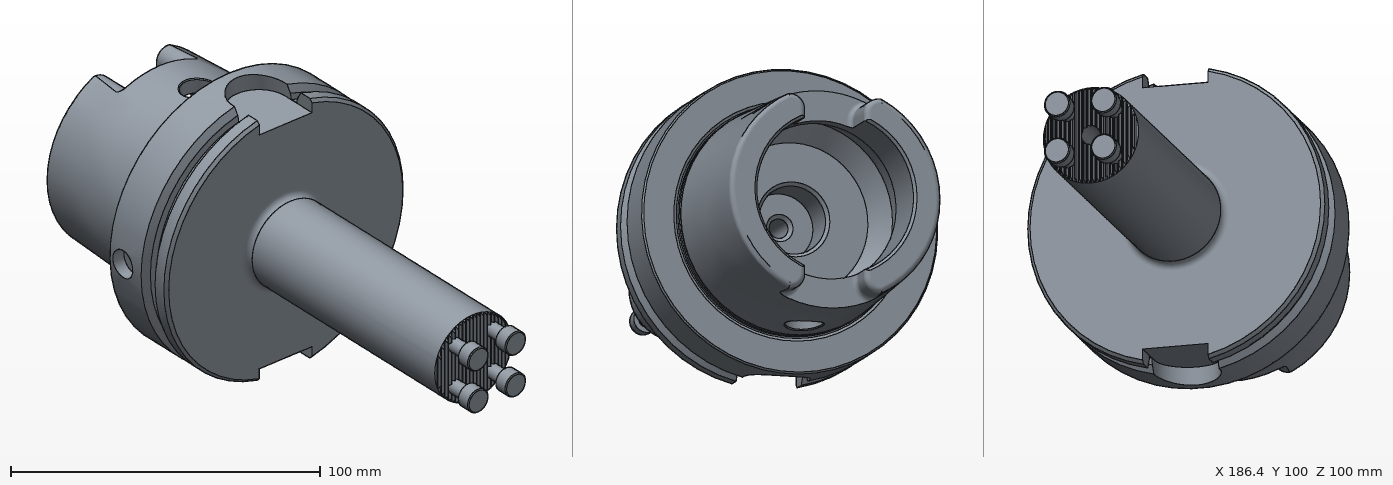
import cadquery as cq
import math


taper_length = 50.0
taper_base_radius = 38.0
taper_slope = 0.05
rim_round = 1.7

relief_start = -2.8
relief_end = -1.1
relief_depth = 0.28
relief_ramp = 0.5
face_relief_depth = 0.4
face_relief_inner_radius = 38.4
face_relief_outer_radius = 39.3

flange_radius = 50.02
flange_width = 29.0
flange_front_chamfer = 0.5
flange_rear_chamfer = 1.1
grip_groove_position = 20.0
grip_groove_half_width = 3.5
grip_groove_shoulder_half_width = 1.9
grip_groove_shoulder_radius = 47.5
grip_groove_floor_half_width = 1.3
grip_groove_floor_radius = 45.5

bore_radius = 26.5
bore_chamfer = 1.0
bore_depth = 20.0
clamp_radius = 31.5
clamp_angle = 60
clamp_depth = 40.0
cavity_floor_radius = 25.2
tube_thread_radius = 11.2
tube_thread_chamfer = 1.1
tube_thread_depth = 14.9
coolant_radius = 3.2
coolant_mouth_radius = 4.5

slot_half_width = 10.0
slot_corner_radius = 5.0
slot_shelf_height = 32.0
slot_mouth_round = 1.9
slot_floor_round = 1.7
slot_plate_thickness = 3.7
upper_slot_depth = 14.9
lower_slot_depth = 9.9

cross_hole_radius = 6.1
cross_hole_chamfer = 0.4
cross_hole_position = -15.3
pocket_radius = 11.0
pocket_start = 4.5
pocket_floor_height = 44.0
chip_hole_radius = 5.0
chip_hole_position = 7.0
chip_hole_depth = 4.7

bar_radius = 16.0
neck_fillet = 2.5
bar_end = 125.0
tooth_pitch = 1.5
tooth_depth = 1.0
tooth_crest = 0.2
tooth_gap = 0.4
bar_end_chamfer = 1.0

screw_offset = 7.8
screw_end = 136.4
screw_head_radius = 4.3
screw_head_length = 5.0
screw_head_chamfer = 0.4
screw_shank_radius = 2.6
screw_insertion = 8.0

taper_end = -taper_length
taper_end_radius = taper_base_radius - taper_slope * taper_length
bar_start = flange_width + neck_fillet
screw_tip = bar_end - screw_insertion
screw_places = [(sy * screw_offset, sz * screw_offset) for sy in (1, -1) for sz in (1, -1)]


def cylinder_x(radius, start, end):
    return cq.Workplane("YZ", origin=(start, 0, 0)).circle(radius).extrude(end - start)


def revolve_about_x(profile):
    return profile.close().revolve(360, (0, 0, 0), (1, 0, 0))


def holder_blank():
    """Taper, flange with gripper groove, and the filleted neck that carries the bar."""
    relief_radius = taper_base_radius + taper_slope * relief_start
    relief_floor_radius = relief_radius - relief_depth
    return revolve_about_x(
        cq.Workplane("XZ")
        .moveTo(taper_end, 0)
        .lineTo(taper_end, taper_end_radius)
        .lineTo(relief_start, relief_radius)
        .lineTo(relief_start + relief_ramp, relief_floor_radius)
        .lineTo(relief_end - relief_ramp, relief_floor_radius)
        .lineTo(relief_end, relief_radius)
        .lineTo(face_relief_depth, relief_radius)
        .lineTo(face_relief_depth, face_relief_inner_radius)
        .lineTo(0, face_relief_outer_radius)
        .lineTo(0, flange_radius - flange_front_chamfer)
        .lineTo(flange_front_chamfer, flange_radius)
        .lineTo(grip_groove_position - grip_groove_half_width, flange_radius)
        .lineTo(grip_groove_position - grip_groove_shoulder_half_width, grip_groove_shoulder_radius)
        .lineTo(grip_groove_position - grip_groove_floor_half_width, grip_groove_floor_radius)
        .lineTo(grip_groove_position + grip_groove_floor_half_width, grip_groove_floor_radius)
        .lineTo(grip_groove_position + grip_groove_shoulder_half_width, grip_groove_shoulder_radius)
        .lineTo(grip_groove_position + grip_groove_half_width, flange_radius)
        .lineTo(flange_width - flange_rear_chamfer, flange_radius)
        .lineTo(flange_width, flange_radius - flange_rear_chamfer)
        .lineTo(flange_width, bar_radius + neck_fillet)
        .radiusArc((bar_start, bar_radius), -neck_fillet)
        .lineTo(bar_start, 0)
    )


def drive_slot(side, depth):
    """Slot cutter: a channel that opens through rounded shoulders onto a flat shelf.

    side is 1 for the +Z slot and -1 for the -Z slot. A plate in front of the taper end lets
    the mouth of the slot flare with a round; the slot floor is rounded as well.
    """
    shoulder_y = slot_half_width + slot_corner_radius
    arc_start_z = slot_shelf_height - slot_corner_radius
    arc_mid_offset = slot_corner_radius * math.sqrt(0.5)
    arc_mid_y = shoulder_y - arc_mid_offset
    arc_mid_z = arc_start_z + arc_mid_offset
    outside = flange_radius
    channel = (
        cq.Workplane("YZ", origin=(taper_end, 0, 0))
        .moveTo(-slot_half_width, 0)
        .lineTo(slot_half_width, 0)
        .lineTo(slot_half_width, side * arc_start_z)
        .threePointArc((arc_mid_y, side * arc_mid_z), (shoulder_y, side * slot_shelf_height))
        .lineTo(outside, side * slot_shelf_height)
        .lineTo(outside, side * outside)
        .lineTo(-outside, side * outside)
        .lineTo(-outside, side * slot_shelf_height)
        .lineTo(-shoulder_y, side * slot_shelf_height)
        .threePointArc((-arc_mid_y, side * arc_mid_z), (-slot_half_width, side * arc_start_z))
        .close()
        .extrude(depth)
        .faces(">X")
        .edges()
        .fillet(slot_floor_round)
    )
    plate = (
        cq.Workplane("YZ", origin=(taper_end, 0, side * outside / 2))
        .rect(2 * outside, outside)
        .extrude(-slot_plate_thickness)
    )
    plate_face = cq.selectors.BoxSelector(
        (taper_end - slot_mouth_round / 2, -outside + slot_mouth_round, -outside),
        (taper_end + slot_mouth_round / 2, outside - slot_mouth_round, outside),
    )
    return channel.union(plate).edges(plate_face).fillet(slot_mouth_round)


def clamping_cavity():
    """Stepped bore: entry, undercut clamping groove, floor and coolant-tube thread bore."""
    undercut = clamp_radius - bore_radius
    clamp_start = bore_depth + undercut / math.tan(math.radians(clamp_angle))
    floor_depth = clamp_depth + clamp_radius - cavity_floor_radius
    thread_end = floor_depth + tube_thread_depth
    coolant_chamfer = coolant_mouth_radius - coolant_radius
    return revolve_about_x(
        cq.Workplane("XZ", origin=(taper_end, 0, 0))
        .lineTo(0, bore_radius + bore_chamfer)
        .lineTo(bore_chamfer, bore_radius)
        .lineTo(bore_depth, bore_radius)
        .lineTo(clamp_start, clamp_radius)
        .lineTo(clamp_depth, clamp_radius)
        .lineTo(floor_depth, cavity_floor_radius)
        .lineTo(floor_depth, tube_thread_radius + tube_thread_chamfer)
        .lineTo(floor_depth + tube_thread_chamfer, tube_thread_radius)
        .lineTo(thread_end, tube_thread_radius)
        .lineTo(thread_end, coolant_mouth_radius)
        .lineTo(thread_end + coolant_chamfer, coolant_radius)
        .lineTo(bar_start - taper_end, coolant_radius)
        .lineTo(bar_start - taper_end, 0)
    )


def drill_cross_holes(body):
    """Hole along Z through both walls of the taper, with its outer edges chamfered."""
    drill = (
        cq.Workplane("XY", origin=(cross_hole_position, 0, 0))
        .circle(cross_hole_radius)
        .extrude(flange_radius, both=True)
    )
    drilled = body.cut(drill)
    reach = cross_hole_radius + cross_hole_chamfer
    for side in (1, -1):
        outer_edge = cq.selectors.BoxSelector(
            (cross_hole_position - reach, -reach, side * clamp_radius),
            (cross_hole_position + reach, reach, side * flange_radius),
            boundingbox=True,
        )
        drilled = drilled.edges(outer_edge).chamfer(cross_hole_chamfer)
    return drilled


def flange_pocket(side):
    """Flat-floored pocket, round at the front and open at the rear of the flange."""
    centre = pocket_start + pocket_radius
    return (
        cq.Workplane("XY", origin=(0, 0, side * pocket_floor_height))
        .moveTo(flange_width, pocket_radius)
        .lineTo(centre, pocket_radius)
        .threePointArc((pocket_start, 0), (centre, -pocket_radius))
        .lineTo(flange_width, -pocket_radius)
        .close()
        .extrude(side * (flange_radius - pocket_floor_height))
    )


def chip_hole():
    return (
        cq.Workplane("XZ", origin=(chip_hole_position, -flange_radius, 0))
        .circle(chip_hole_radius)
        .extrude(-chip_hole_depth)
    )


def make_holder():
    holder = holder_blank().faces("<X").edges().fillet(rim_round)
    holder = holder.cut(drive_slot(1, upper_slot_depth))
    holder = holder.cut(drive_slot(-1, lower_slot_depth))
    holder = drill_cross_holes(holder.cut(clamping_cavity()))
    for side in (1, -1):
        holder = holder.cut(flange_pocket(side))
    return holder.cut(chip_hole())


def make_screw(y, z):
    head_start = screw_end - screw_head_length
    head = cylinder_x(screw_head_radius, head_start, screw_end).faces(">X").chamfer(screw_head_chamfer)
    shank = cylinder_x(screw_shank_radius, screw_tip, head_start)
    return head.union(shank).translate((0, y, z))


def serration_grooves():
    """Tapered grooves along Z across the end of the bar, spaced evenly about a groove at Y = 0."""
    side_count = math.floor(bar_radius / tooth_pitch)
    half_width = (tooth_pitch - tooth_crest) / 2
    root = bar_end - tooth_depth
    grooves = cq.Workplane("XY")
    for i in range(-side_count, side_count + 1):
        y = i * tooth_pitch
        groove = (
            cq.Workplane("XY")
            .moveTo(root, y - tooth_gap / 2)
            .lineTo(bar_end, y - half_width)
            .lineTo(bar_end, y + half_width)
            .lineTo(root, y + tooth_gap / 2)
            .close()
            .extrude(bar_radius, both=True)
        )
        grooves = grooves.add(groove)
    return grooves.combine()


def make_bar():
    bar = cylinder_x(bar_radius, bar_start, bar_end).faces(">X").chamfer(bar_end_chamfer)
    bar = bar.cut(serration_grooves())
    bar = bar.cut(cylinder_x(coolant_radius, bar_start, bar_end))
    for y, z in screw_places:
        bar = bar.cut(cylinder_x(screw_shank_radius, screw_tip, bar_end).translate((0, y, z)))
    return bar


holder = make_holder()
bar = make_bar()
screws = [make_screw(y, z) for y, z in screw_places]

result = cq.Compound.makeCompound([holder.val(), bar.val(), *[screw.val() for screw in screws]])